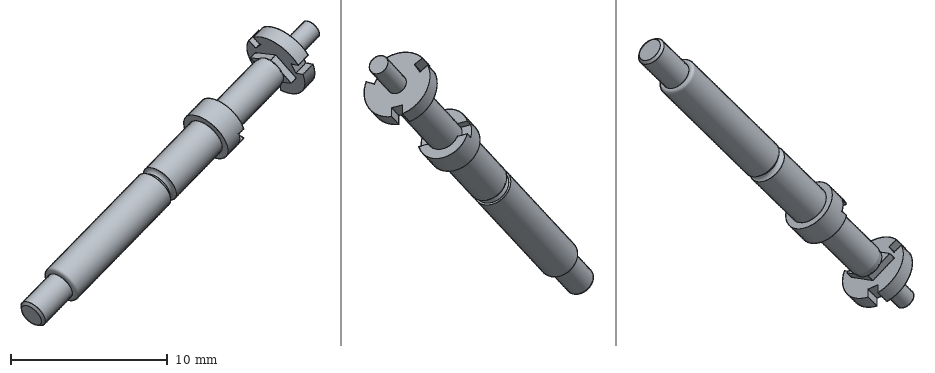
import cadquery as cq

total_length = 29.0
tip_end = 3.0
collar_front = 18.07
collar_length = 1.7
collar_rear = collar_front + collar_length
tail_length = 2.65
flange_thickness = 1.05
flange_rear = total_length - tail_length
flange_front = flange_rear - flange_thickness
wedge_length = 0.52
wedge_front = flange_front - wedge_length
neck_length = 0.4
neck_front = wedge_front - neck_length

tip_radius = 1.0
body_radius = 1.33
collar_radius = 1.8
shank_radius = 1.13
neck_radius = 1.05
flange_radius = 2.35
tail_radius = 0.67

tip_chamfer = 0.17
body_round = 0.2

groove_front = 12.73
groove_bottom = 13.0
groove_rear = 13.3
groove_step_radius = 1.2
groove_radius = 1.07
groove_round = 0.32

wedge_half_width = 1.65
wedge_half_height = 1.1

flange_slot_width = 0.75
flange_slot_floor = 1.65
flange_slot_count = 3
collar_notch_width = 0.95
collar_notch_depth = 0.5


def turned_body():
    """Revolve the stepped half profile (station, radius) about the Y axis."""
    profile = (
        cq.Workplane("YZ")
        .moveTo(0, 0)
        .lineTo(0, tip_radius - tip_chamfer)
        .lineTo(tip_chamfer, tip_radius)
        .lineTo(tip_end, tip_radius)
        .lineTo(tip_end, body_radius - body_round)
        .radiusArc((tip_end + body_round, body_radius), body_round)
        .lineTo(groove_front, body_radius)
        .lineTo(groove_front, groove_step_radius)
        .lineTo(groove_bottom, groove_radius)
        .radiusArc((groove_rear, body_radius), -groove_round)
        .lineTo(collar_front, body_radius)
        .lineTo(collar_front, collar_radius)
        .lineTo(collar_rear, collar_radius)
        .lineTo(collar_rear, shank_radius)
        .lineTo(neck_front, shank_radius)
        .lineTo(wedge_front, neck_radius)
        .lineTo(wedge_front, 0)
        .close()
    )
    return profile.revolve(360, (0, 0), (1, 0))


def cylinder(radius, front, length):
    """Solid cylinder on the Y axis, reaching back from its front face."""
    return cq.Workplane("XZ", origin=(0, front, 0)).circle(radius).extrude(-length)


def wedge():
    """Lozenge with its sharp edges toward +X and -X, in front of the flange."""
    corners = [
        (wedge_half_width, 0),
        (0, wedge_half_height),
        (-wedge_half_width, 0),
        (0, -wedge_half_height),
    ]
    return (
        cq.Workplane("XZ", origin=(0, flange_front, 0))
        .polyline(corners)
        .close()
        .extrude(wedge_length)
    )


def flange_slots():
    """Flat-floored slots spread evenly round the flange rim, the first one at the bottom."""
    slot_height = 2 * (flange_radius - flange_slot_floor)
    slot = cq.Workplane("XY").box(
        flange_slot_width, flange_thickness, slot_height, centered=(True, False, False)
    ).translate((0, flange_front, -flange_slot_floor - slot_height))
    slots = cq.Workplane("XY")
    for index in range(flange_slot_count):
        angle = index * 360 / flange_slot_count
        slots = slots.add(slot.rotate((0, 0, 0), (0, 1, 0), angle))
    return slots.combine()


def collar_notches():
    """Notch across the rear of the collar on both sides, leaving the shank whole."""
    bar = cq.Workplane("XY").box(
        2 * collar_radius, collar_notch_depth, collar_notch_width, centered=(True, False, True)
    ).translate((0, collar_rear - collar_notch_depth, 0))
    return bar.cut(cylinder(shank_radius, collar_front, collar_length))


result = turned_body()
result = result.union(wedge())
result = result.union(cylinder(flange_radius, flange_front, flange_thickness).cut(flange_slots()))
result = result.union(cylinder(tail_radius, flange_rear, tail_length))
result = result.cut(collar_notches())